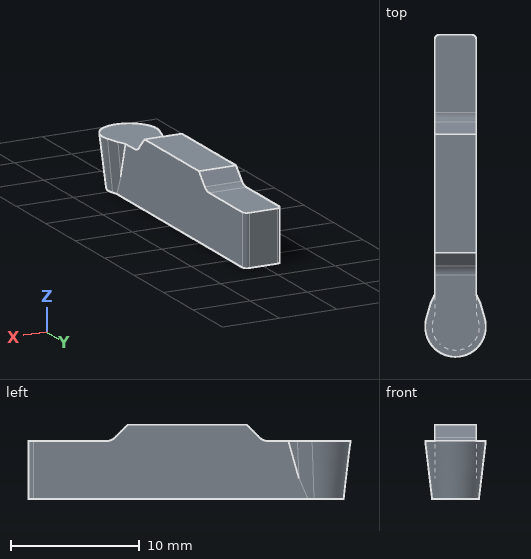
import cadquery as cq
import math

LENGTH = 25.05
DECK_HEIGHT = 4.5
RIDGE_HEIGHT = 5.79

SHANK_HALF_WIDTH = 1.63
REAR_CORNER_RADIUS = 0.4
RIDGE_FRONT = 8.1
RIDGE_REAR = 17.3
RAMP_RUN = RIDGE_HEIGHT - DECK_HEIGHT
RAMP_FOOT_RADIUS = 1.0

HEAD_RADIUS = 2.367
HEAD_CENTER_Y = HEAD_RADIUS
DRAFT_ANGLE = 6.8
FRONT_FLAT_ANGLE = math.radians(16.0)
REAR_FLAT_ANGLE = math.radians(25.0)
FLAT_CREASE_Y = 4.15
HEAD_ROOT_HALF_WIDTH = 1.25


def make_shank():
    """Bar with a ramped ridge, starting inside the head."""
    front_foot = RIDGE_FRONT - RAMP_RUN
    rear_foot = RIDGE_REAR + RAMP_RUN
    side_profile = [
        (HEAD_CENTER_Y, 0),
        (LENGTH, 0),
        (LENGTH, DECK_HEIGHT),
        (rear_foot, DECK_HEIGHT),
        (RIDGE_REAR, RIDGE_HEIGHT),
        (RIDGE_FRONT, RIDGE_HEIGHT),
        (front_foot, DECK_HEIGHT),
        (HEAD_CENTER_Y, DECK_HEIGHT),
    ]
    shank = cq.Workplane("YZ").polyline(side_profile).close().extrude(SHANK_HALF_WIDTH, both=True)
    for foot in (front_foot, rear_foot):
        foot_edge = cq.selectors.NearestToPointSelector((0, foot, DECK_HEIGHT))
        shank = shank.edges("|X").edges(foot_edge).fillet(RAMP_FOOT_RADIUS)
    return shank.faces(">Y").edges("|Z").fillet(REAR_CORNER_RADIUS)


def make_head():
    """Drafted head, extruded down from its largest outline at deck level."""
    tangent_x = HEAD_RADIUS * math.cos(FRONT_FLAT_ANGLE)
    tangent_y = HEAD_CENTER_Y + HEAD_RADIUS * math.sin(FRONT_FLAT_ANGLE)
    crease_x = tangent_x - (FLAT_CREASE_Y - tangent_y) * math.tan(FRONT_FLAT_ANGLE)
    root_x = HEAD_ROOT_HALF_WIDTH
    root_y = FLAT_CREASE_Y + (crease_x - root_x) / math.tan(REAR_FLAT_ANGLE)
    return (
        cq.Workplane("XY", origin=(0, 0, DECK_HEIGHT))
        .moveTo(tangent_x, tangent_y)
        .lineTo(crease_x, FLAT_CREASE_Y)
        .lineTo(root_x, root_y)
        .lineTo(-root_x, root_y)
        .lineTo(-crease_x, FLAT_CREASE_Y)
        .lineTo(-tangent_x, tangent_y)
        .threePointArc((0, HEAD_CENTER_Y - HEAD_RADIUS), (tangent_x, tangent_y))
        .close()
        .extrude(-DECK_HEIGHT, taper=DRAFT_ANGLE)
    )


result = make_shank().union(make_head())